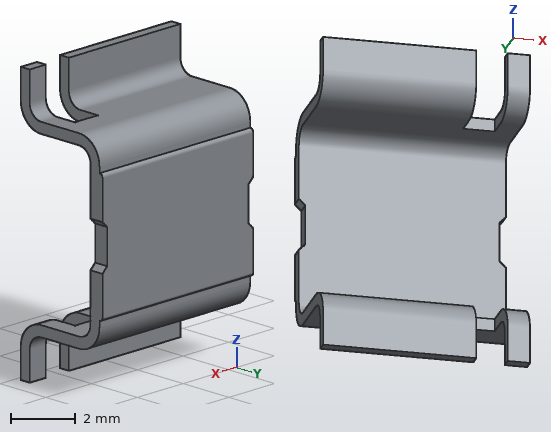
import cadquery as cq

width = 6.6
depth = 3.58
height = 10.16

sheet = 0.4
inner_radius = 0.5
outer_radius = inner_radius + sheet
lip_length = 1.09

pad_thickness = 0.13
pad_height = 4.8

notch_depth = 0.2
notch_inner_height = 1.27
notch_outer_height = notch_inner_height + 2 * notch_depth

slot_width = 1.01
slot_depth = 1.67
slot_side_strip = 0.71

front_y = -depth / 2
rear_y = depth / 2
web_rear_y = rear_y - pad_thickness
lip_bend_z = height / 2 - lip_length
flange_outer_z = lip_bend_z - inner_radius
flange_inner_z = flange_outer_z - sheet
web_bend_z = flange_outer_z - outer_radius


def half_sheet():
    """Upper half of the hat section: web, bend, flange, bend and lip."""
    web_front_y = web_rear_y - sheet
    lip_rear_y = front_y + sheet
    return (
        cq.Workplane("YZ", origin=(-width / 2, 0, 0))
        .moveTo(web_rear_y, 0)
        .lineTo(web_rear_y, web_bend_z)
        .radiusArc((web_rear_y - outer_radius, flange_outer_z), -outer_radius)
        .lineTo(lip_rear_y + inner_radius, flange_outer_z)
        .radiusArc((lip_rear_y, lip_bend_z), inner_radius)
        .lineTo(lip_rear_y, height / 2)
        .lineTo(front_y, height / 2)
        .lineTo(front_y, lip_bend_z)
        .radiusArc((front_y + outer_radius, flange_inner_z), -outer_radius)
        .lineTo(web_front_y - inner_radius, flange_inner_z)
        .radiusArc((web_front_y, web_bend_z), inner_radius)
        .lineTo(web_front_y, 0)
        .close()
        .extrude(width)
    )


def rear_pad():
    """Full-width pad, rooted in the web, with its rear edges rounded over its whole rise."""
    pad_depth = pad_thickness + sheet
    return (
        cq.Workplane("XY")
        .box(width, pad_depth, pad_height)
        .edges(">Y and |X")
        .fillet(pad_thickness)
        .translate((0, rear_y - pad_depth / 2, 0))
    )


def edge_notch(side):
    """Cutter for the notch in the web edge at the given side (-1 or 1)."""
    edge_x = side * width / 2
    floor_x = edge_x - side * notch_depth
    return (
        cq.Workplane("XZ", origin=(0, rear_y, 0))
        .polyline([
            (edge_x, notch_outer_height / 2),
            (floor_x, notch_inner_height / 2),
            (floor_x, -notch_inner_height / 2),
            (edge_x, -notch_outer_height / 2),
        ])
        .close()
        .extrude(pad_thickness + sheet)
    )


def lip_slots():
    """Cutter, open at the front, that passes through both flanges and lips."""
    slot_right_x = width / 2 - slot_side_strip
    return cq.Workplane("XY").box(slot_width, slot_depth, height).translate(
        (slot_right_x - slot_width / 2, front_y + slot_depth / 2, 0)
    )


upper_half = half_sheet()
result = upper_half.union(upper_half.mirror("XY")).union(rear_pad()).cut(lip_slots())
for side in (-1, 1):
    result = result.cut(edge_notch(side))
result = result.clean()